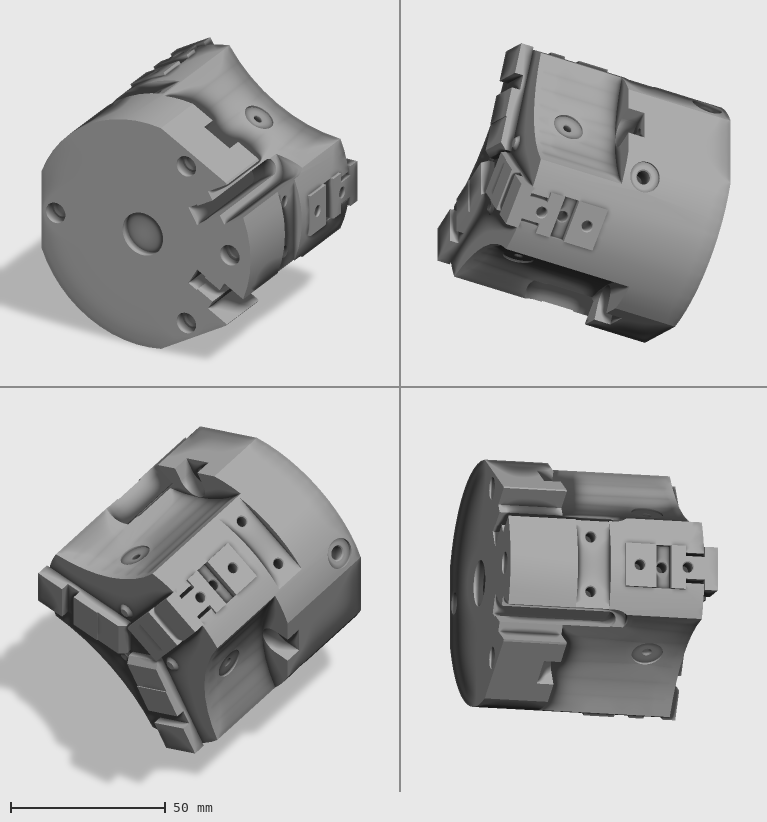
import cadquery as cq
import math


JAW_ANGLES = (0, 120, 240)
SCOOP_ANGLES = (60, 180, 300)
CHANNEL_ANGLES = (30, -30)
PAD_ANGLES = (0, 120)

HOUSING_RADIUS = 40.0
HOUSING_LENGTH = 64.6
PLATE_THICKNESS = 6.2
PLATE_Y = HOUSING_LENGTH - PLATE_THICKNESS
FLAT_RADIUS = 37.5

SCOOP_RADIUS = 54.0
SCOOP_BOTTOM = 26.6
SCOOP_FLOOR = 21.0
HIGH_SCOOP_ANGLE = 180
HIGH_SCOOP_FLOOR = 36.1

MOUNT_CIRCLE = 32.3
MOUNT_DIAMETER = 4.6
MOUNT_MOUTH = 5.8
SLEEVE_DIAMETER = 7.2
SLEEVE_DEPTH = 4.0
BOLT_HEAD_DIAMETER = 10.9
BOLT_HEAD_DEPTH = 5.6
PIN_HOLE_DIAMETER = 5.1
PIN_HOLE_DEPTH = 10.0
DRILL_POINT_ANGLE = 118.0

CENTRE_DIAMETER = 15.0
CENTRE_DEPTH = 3.2

CHANNEL_STEPS = ((6.0, 31.4), (2.7, 25.0), (3.2, 21.4))
CHANNEL_END_Y = 35.6

PAD_RADIUS = 37.0
PAD_START = 22.5
PAD_END = 33.5
PAD_SCREW_Y = 27.5
PAD_SCREW_SPACING = 18.0

SCREW_DIAMETER = 3.4
SCREW_MOUTH = 4.0
SCREW_DEPTH = 6.4

SPOTFACE_DIAMETER = 10.2
PORT_DIAMETER = 4.5
PORT_MOUTH = 5.3
PORT_DEPTH = 8.0
SIDE_PORTS = ((150, 7.0), (210, 29.0))
SIDE_PORT_FLOOR = 38.9
SCOOP_PORT_Y = 52.5
SCOOP_PORT_FLOOR = 26.1
SCOOP_PORT_DIAMETER = 2.7
SCOOP_PORT_MOUTH = 3.2

BUTTON_CIRCLE = 13.0
BUTTON_BASE_RADIUS = 2.6
BUTTON_TOP_RADIUS = 1.5
BUTTON_HEIGHT = 1.1

JAW_WIDTH = 14.2
JAW_OUTER = 40.5
JAW_INNER = 4.6
JAW_BACK = 38.4
JAW_FRONT = 69.0
NECK_WIDTH = 7.5
NECK_SLOT_WIDTH = 10.0
JAW_TIP_CHAMFER = 2.0
TIP_RELIEF_DEPTH = 0.3
TIP_RELIEF_END = 15.5
KEYWAY_WIDTH = 5.0
CROSS_KEYWAY_START = 25.4
CROSS_KEYWAY_DEPTH = 2.9
FACE_KEYWAY_START = 48.6
FACE_KEYWAY_DEPTH = 3.0
FACE_SCREW_Y = (43.0, 59.0)


def turned(shape, angle):
    """Turn a shape about the Y axis from the +X direction to the given angle."""
    return shape.rotate((0, 0, 0), (0, 1, 0), -angle)


def block(inner, outer, width, y_start, y_end):
    """Box along +X from inner to outer, centred on Z."""
    size = (outer - inner, y_end - y_start, width)
    return cq.Workplane("XY").box(*size, centered=(False, False, True)).translate((inner, y_start, 0))


def cone_or_cylinder(radius_1, radius_2, height, start, direction):
    """Round body along a direction, tapered when its two radii differ."""
    if radius_1 == radius_2:
        solid = cq.Solid.makeCylinder(radius_1, height, cq.Vector(*start), cq.Vector(*direction))
    else:
        solid = cq.Solid.makeCone(radius_1, radius_2, height, cq.Vector(*start), cq.Vector(*direction))
    return cq.Workplane(obj=solid)


def y_cylinder(diameter, y_start, y_end, x=0.0):
    """Cylinder parallel to the Y axis."""
    return cone_or_cylinder(diameter / 2, diameter / 2, y_end - y_start, (x, y_start, 0), (0, 1, 0))


def radial_hole(surface, y, diameter, mouth, depth, z=0.0):
    """Hole drilled along -X from x = surface, with a 45 degree chamfer at its mouth."""
    start = (surface, y, z)
    inward = (-1, 0, 0)
    bore = cone_or_cylinder(diameter / 2, diameter / 2, depth, start, inward)
    chamfer = cone_or_cylinder(mouth / 2, diameter / 2, (mouth - diameter) / 2, start, inward)
    return bore.union(chamfer)


def screw_hole(surface, y, z=0.0):
    return radial_hole(surface, y, SCREW_DIAMETER, SCREW_MOUTH, SCREW_DEPTH, z)


def spotfaced_port(floor, y, diameter, mouth):
    """Port hole with a round flat seat at x = floor."""
    seat_radius = SPOTFACE_DIAMETER / 2
    seat = cone_or_cylinder(seat_radius, seat_radius, HOUSING_RADIUS - floor, (floor, y, 0), (1, 0, 0))
    return seat.union(radial_hole(floor, y, diameter, mouth, PORT_DEPTH))


def scoop_cut(floor):
    """Side flat, the concave scoop above it, and the U-shaped bolt-head recess in its floor."""
    flat = block(FLAT_RADIUS, 2 * HOUSING_RADIUS, 2 * HOUSING_RADIUS, 0, floor)
    scoop = y_cylinder(2 * SCOOP_RADIUS, floor, HOUSING_LENGTH, SCOOP_BOTTOM + SCOOP_RADIUS)
    head_floor = floor - BOLT_HEAD_DEPTH
    head = y_cylinder(BOLT_HEAD_DIAMETER, head_floor, floor, MOUNT_CIRCLE)
    head = head.union(block(MOUNT_CIRCLE, FLAT_RADIUS, BOLT_HEAD_DIAMETER, head_floor, floor))
    port = spotfaced_port(SCOOP_PORT_FLOOR, SCOOP_PORT_Y, SCOOP_PORT_DIAMETER, SCOOP_PORT_MOUTH)
    return flat.union(scoop).union(head).union(port)


def mounting_hole():
    """Through hole with a sleeve counterbore in the mounting face."""
    chamfer_height = (MOUNT_MOUTH - MOUNT_DIAMETER) / 2
    bore = y_cylinder(MOUNT_DIAMETER, 0, HOUSING_LENGTH, MOUNT_CIRCLE)
    sleeve = y_cylinder(SLEEVE_DIAMETER, 0, SLEEVE_DEPTH, MOUNT_CIRCLE)
    chamfer = cone_or_cylinder(
        MOUNT_MOUTH / 2, MOUNT_DIAMETER / 2, chamfer_height, (MOUNT_CIRCLE, SLEEVE_DEPTH, 0), (0, 1, 0)
    )
    return bore.union(sleeve).union(chamfer)


def pin_hole():
    """Blind hole with a drill-point end and the same sleeve counterbore."""
    radius = PIN_HOLE_DIAMETER / 2
    point_height = radius / math.tan(math.radians(DRILL_POINT_ANGLE / 2))
    bore = y_cylinder(PIN_HOLE_DIAMETER, 0, PIN_HOLE_DEPTH, MOUNT_CIRCLE)
    sleeve = y_cylinder(SLEEVE_DIAMETER, 0, SLEEVE_DEPTH, MOUNT_CIRCLE)
    point = cone_or_cylinder(radius, 0, point_height, (MOUNT_CIRCLE, PIN_HOLE_DEPTH, 0), (0, 1, 0))
    return bore.union(sleeve).union(point)


def round_ended_slot(half_width, inner, outer):
    """Slot that starts at the mounting face and ends in a half round."""
    straight = block(inner, outer, 2 * half_width, 0, CHANNEL_END_Y)
    end = cone_or_cylinder(half_width, half_width, outer - inner, (inner, CHANNEL_END_Y, 0), (1, 0, 0))
    return straight.union(end)


def channel_cut():
    """Stepped sensor channel: wide mouth, narrow neck and a slightly wider bottom."""
    (mouth_half, mouth_floor), (neck_half, neck_floor), (bottom_half, bottom_floor) = CHANNEL_STEPS
    mouth = round_ended_slot(mouth_half, mouth_floor, HOUSING_RADIUS)
    neck = round_ended_slot(neck_half, neck_floor, mouth_floor)
    bottom = round_ended_slot(bottom_half, bottom_floor, neck_floor)
    return mouth.union(neck).union(bottom)


def pad_cut():
    """Flat sensor pad across the cylinder with two screw holes."""
    pad = block(PAD_RADIUS, HOUSING_RADIUS, 2 * HOUSING_RADIUS, PAD_START, PAD_END)
    for side in (-1, 1):
        pad = pad.union(screw_hole(PAD_RADIUS, PAD_SCREW_Y, side * PAD_SCREW_SPACING / 2))
    return pad


def jaw_slot():
    """T-shaped slot that guides one jaw."""
    guide = block(JAW_INNER, JAW_OUTER, JAW_WIDTH, JAW_BACK, PLATE_Y)
    neck = block(JAW_INNER, JAW_OUTER, NECK_SLOT_WIDTH, PLATE_Y, HOUSING_LENGTH)
    return guide.union(neck)


def button():
    start = (BUTTON_CIRCLE, HOUSING_LENGTH, 0)
    return cone_or_cylinder(BUTTON_BASE_RADIUS, BUTTON_TOP_RADIUS, BUTTON_HEIGHT, start, (0, 1, 0))


def make_housing():
    body = y_cylinder(2 * HOUSING_RADIUS, 0, HOUSING_LENGTH)
    body = body.cut(y_cylinder(CENTRE_DIAMETER, 0, CENTRE_DEPTH))
    for angle in SCOOP_ANGLES:
        floor = HIGH_SCOOP_FLOOR if angle == HIGH_SCOOP_ANGLE else SCOOP_FLOOR
        body = body.cut(turned(scoop_cut(floor), angle))
        body = body.cut(turned(mounting_hole(), angle))
        body = body.union(turned(button(), angle))
    body = body.cut(pin_hole())
    for angle in CHANNEL_ANGLES:
        body = body.cut(turned(channel_cut(), angle))
    for angle in PAD_ANGLES:
        body = body.cut(turned(pad_cut(), angle))
    for angle, y in SIDE_PORTS:
        port = spotfaced_port(SIDE_PORT_FLOOR, y, PORT_DIAMETER, PORT_MOUTH)
        body = body.cut(turned(port, angle))
    for angle in JAW_ANGLES:
        body = body.cut(turned(jaw_slot(), angle))
    return body


def make_jaw():
    guide = block(JAW_INNER, JAW_OUTER, JAW_WIDTH, JAW_BACK, PLATE_Y)
    neck = block(JAW_INNER, JAW_OUTER, NECK_WIDTH, PLATE_Y, HOUSING_LENGTH)
    tip_y = JAW_FRONT - TIP_RELIEF_DEPTH
    head = (
        cq.Workplane("XY", origin=(0, 0, -JAW_WIDTH / 2))
        .moveTo(JAW_INNER, HOUSING_LENGTH)
        .lineTo(JAW_OUTER, HOUSING_LENGTH)
        .lineTo(JAW_OUTER, JAW_FRONT)
        .lineTo(TIP_RELIEF_END, JAW_FRONT)
        .lineTo(TIP_RELIEF_END, tip_y)
        .lineTo(JAW_INNER + JAW_TIP_CHAMFER, tip_y)
        .lineTo(JAW_INNER, tip_y - JAW_TIP_CHAMFER)
        .close()
        .extrude(JAW_WIDTH)
    )
    cross_keyway = block(
        CROSS_KEYWAY_START,
        CROSS_KEYWAY_START + KEYWAY_WIDTH,
        JAW_WIDTH,
        JAW_FRONT - CROSS_KEYWAY_DEPTH,
        JAW_FRONT,
    )
    keyway_floor = JAW_OUTER - FACE_KEYWAY_DEPTH
    face_keyway = block(
        keyway_floor, JAW_OUTER, JAW_WIDTH, FACE_KEYWAY_START, FACE_KEYWAY_START + KEYWAY_WIDTH
    )
    jaw = guide.union(neck).union(head).cut(cross_keyway).cut(face_keyway)
    for y in FACE_SCREW_Y:
        jaw = jaw.cut(screw_hole(JAW_OUTER, y))
    return jaw.cut(screw_hole(keyway_floor, sum(FACE_SCREW_Y) / 2))


housing = make_housing()
jaws = [turned(make_jaw(), angle) for angle in JAW_ANGLES]
result = cq.Compound.makeCompound([housing.val(), *[jaw.val() for jaw in jaws]])